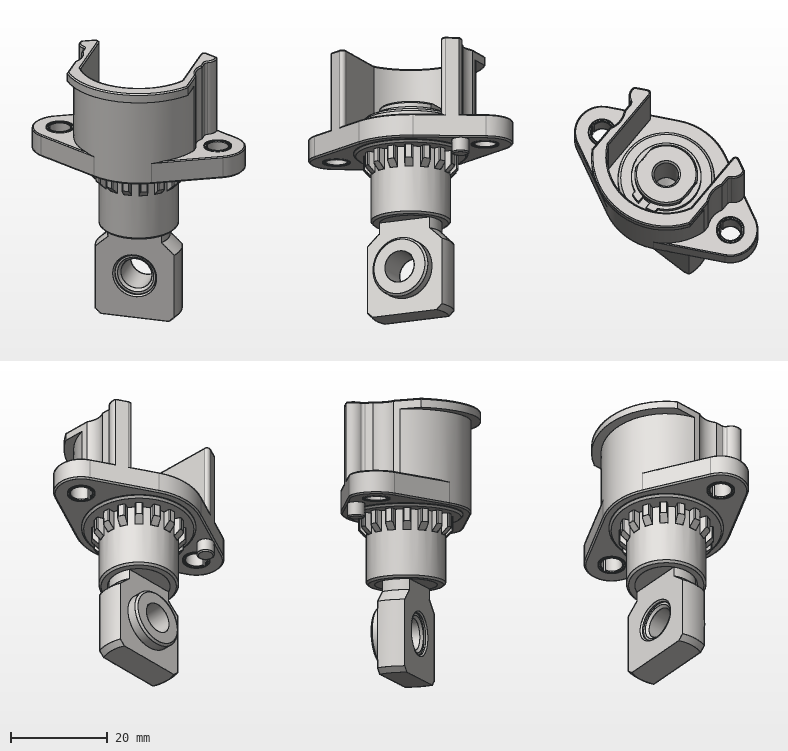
import cadquery as cq
import math

TOP_Z = 56.5
FLANGE_TOP_Z = 39.95
FLANGE_BOTTOM_Z = 35.05
PILOT_BOTTOM_Z = 34.4
BARREL_BOTTOM_Z = 20.05
SEAT_TOP_Z = 42.15
POST_TOP_Z = 44.6
EMBED = 0.55

BODY_RADIUS = 13.5
FLANGE_LENGTH = 45.5
EAR_X = 17.0
EAR_RADIUS = FLANGE_LENGTH / 2 - EAR_X
FLANGE_TOP_CHAMFER = 0.2
FLANGE_BOTTOM_CHAMFER = 0.35
EDGE_NORMAL_X = (BODY_RADIUS - EAR_RADIUS) / EAR_X
EDGE_NORMAL_Y = math.sqrt(1 - EDGE_NORMAL_X**2)

WALL_OUTER_X = 13.0
WALL_INNER_X = 10.95
CAVITY_RADIUS = 12.25
SHROUD_CHAMFER = 0.3
LIP_RADIUS = 15.5
LIP_HEIGHT = 2.0
LIP_BACK_Y = 2.8
LIP_OVERLAP = 0.55
SCREW_RELIEF_RADIUS = 4.65
BEAD_X = 12.45
BEAD_Y = 6.9
BEAD_RADIUS = 2.3
BEAD_BLEND_RADIUS = 0.85
WALL_END_RADIUS = 0.8

SEAT_RADIUS = 10.0
SEAT_CHAMFER = 0.55
PILOT_RADIUS = 11.85
PILOT_CHAMFER = 0.45
BARREL_RADIUS = 8.25
BARREL_CHAMFER = 0.45
GUSSET_COUNT = 16
GUSSET_RADIUS = 9.8
GUSSET_WIDTH = 1.7
GUSSET_CHAMFER = 0.2
GUSSET_BOTTOM_Z = 30.1
PEG_X = -14.0
PEG_Y = 5.65
PEG_RADIUS = 1.8
PEG_LENGTH = 3.0
PEG_CHAMFER = 0.3

BUSHING_OUTER_RADIUS = 2.9
BUSHING_INNER_RADIUS = 2.25
BUSHING_CHAMFER = 0.15
BUSHING_SLIT = 0.55

POST_RADIUS = 6.5
POST_CHAMFER = 0.35
POST_FLAT_X = 5.9
LUG_RADIUS = 9.05
LUG_THICKNESS = 6.05
LUG_SHOULDER_Z = 15.2
LUG_TIP_CHAMFER = 1.15
LUG_HOLE_Z = 9.5
LUG_HOLE_RADIUS = 4.4
LUG_HOLE_CHAMFER = 0.35
TAP_RADIUS = 2.55
TAP_CHAMFER = 0.4
TAP_DEPTH = 10.15
DRILL_TIP_ANGLE = 118.0

CLIP_THICKNESS = 1.0
CLIP_INNER_RADIUS = 6.05
CLIP_RADIUS = 7.25
CLIP_TAB_RADIUS = 8.0
CLIP_TAB_X = 3.0
CLIP_GAP = 2.0

NUT_RADIUS = 6.25
NUT_HEIGHT = 2.5
NUT_CHAMFER = 0.45
NUT_BORE_RADIUS = 3.35
NUT_BORE_CHAMFER = 0.55
NUT_RECESS = 0.7


def disc(radius, bottom, top, x=0.0, y=0.0):
    return cq.Workplane("XY", origin=(x, y, bottom)).circle(radius).extrude(top - bottom)


def block(x_min, x_max, y_min, y_max, bottom, top):
    size = (x_max - x_min, y_max - y_min, top - bottom)
    return cq.Workplane("XY", origin=(x_min, y_min, bottom)).box(*size, centered=False)


def on_circle(radius, angle, x=0.0, y=0.0):
    return (x + radius * math.cos(angle), y + radius * math.sin(angle))


def flange_outline(bottom, top):
    """Round body with an ear on each side, joined by common tangents."""
    body_x, body_y = BODY_RADIUS * EDGE_NORMAL_X, BODY_RADIUS * EDGE_NORMAL_Y
    ear_x, ear_y = EAR_X + EAR_RADIUS * EDGE_NORMAL_X, EAR_RADIUS * EDGE_NORMAL_Y
    ear_end = EAR_X + EAR_RADIUS
    return (
        cq.Workplane("XY", origin=(0, 0, bottom))
        .moveTo(body_x, body_y)
        .lineTo(ear_x, ear_y)
        .threePointArc((ear_end, 0), (ear_x, -ear_y))
        .lineTo(body_x, -body_y)
        .threePointArc((0, -BODY_RADIUS), (-body_x, -body_y))
        .lineTo(-ear_x, -ear_y)
        .threePointArc((-ear_end, 0), (-ear_x, ear_y))
        .lineTo(-body_x, body_y)
        .threePointArc((0, BODY_RADIUS), (body_x, body_y))
        .close()
        .extrude(top - bottom)
    )


def half_wall_outline(sketch):
    """Right half of the shroud wall, from the middle of the front to the beaded free end."""
    front = -math.pi / 2
    side_angle = -math.acos(WALL_OUTER_X / BODY_RADIUS)
    relief_half = math.sqrt(SCREW_RELIEF_RADIUS**2 - (EAR_X - WALL_OUTER_X) ** 2)
    blend_x = WALL_OUTER_X + BEAD_BLEND_RADIUS
    reach = BEAD_RADIUS + BEAD_BLEND_RADIUS
    touch_angle = -math.acos((blend_x - BEAD_X) / reach)
    blend_y = BEAD_Y + reach * math.sin(touch_angle)
    blend_middle = (math.pi + math.pi + touch_angle) / 2
    edge_angle = math.atan2(EDGE_NORMAL_Y, EDGE_NORMAL_X)
    edge_gap = BODY_RADIUS - BEAD_X * EDGE_NORMAL_X - BEAD_Y * EDGE_NORMAL_Y
    bead_end = edge_angle - math.acos(edge_gap / BEAD_RADIUS)
    wall_end_y = (BODY_RADIUS - WALL_INNER_X * EDGE_NORMAL_X) / EDGE_NORMAL_Y
    cavity_angle = -math.acos(WALL_INNER_X / CAVITY_RADIUS)
    return (
        sketch.moveTo(0, -BODY_RADIUS)
        .threePointArc(on_circle(BODY_RADIUS, (front + side_angle) / 2), on_circle(BODY_RADIUS, side_angle))
        .lineTo(WALL_OUTER_X, -relief_half)
        .threePointArc((EAR_X - SCREW_RELIEF_RADIUS, 0), (WALL_OUTER_X, relief_half))
        .lineTo(WALL_OUTER_X, blend_y)
        .threePointArc(on_circle(BEAD_BLEND_RADIUS, blend_middle, blend_x, blend_y),
                       on_circle(BEAD_RADIUS, touch_angle, BEAD_X, BEAD_Y))
        .threePointArc(on_circle(BEAD_RADIUS, (touch_angle + bead_end) / 2, BEAD_X, BEAD_Y),
                       on_circle(BEAD_RADIUS, bead_end, BEAD_X, BEAD_Y))
        .lineTo(WALL_INNER_X, wall_end_y)
        .lineTo(*on_circle(CAVITY_RADIUS, cavity_angle))
        .threePointArc(on_circle(CAVITY_RADIUS, (front + cavity_angle) / 2), (0, -CAVITY_RADIUS))
        .close()
    )


def make_shroud(bottom):
    half_wall = (
        half_wall_outline(cq.Workplane("XY", origin=(0, 0, bottom)))
        .extrude(TOP_Z - bottom)
        .edges("|Z")
        .edges(cq.selectors.NearestToPointSelector((WALL_INNER_X, BODY_RADIUS, TOP_Z / 2)))
        .fillet(WALL_END_RADIUS)
    )
    lip_bottom = TOP_Z - LIP_HEIGHT
    lip = (
        disc(LIP_RADIUS, lip_bottom, TOP_Z)
        .cut(disc(CAVITY_RADIUS + LIP_OVERLAP, lip_bottom, TOP_Z))
        .intersect(block(0, WALL_OUTER_X, -LIP_RADIUS, -LIP_BACK_Y, lip_bottom, TOP_Z))
    )
    half_shroud = half_wall.union(lip)
    shroud = half_shroud.union(half_shroud.mirror("YZ"))
    return shroud.faces(">Z").chamfer(SHROUD_CHAMFER)


def make_gussets():
    """Ribs around the barrel, each with a 45 degree lower end."""
    slope = GUSSET_RADIUS - BARREL_RADIUS
    gusset = (
        cq.Workplane("XZ", origin=(0, GUSSET_WIDTH / 2, 0))
        .polyline([(0, FLANGE_BOTTOM_Z), (GUSSET_RADIUS, FLANGE_BOTTOM_Z),
                   (GUSSET_RADIUS, GUSSET_BOTTOM_Z + slope),
                   (BARREL_RADIUS, GUSSET_BOTTOM_Z), (0, GUSSET_BOTTOM_Z)])
        .close()
        .extrude(GUSSET_WIDTH)
        .faces(">X").edges("|Z").chamfer(GUSSET_CHAMFER)
    )
    gussets = gusset
    for index in range(1, GUSSET_COUNT):
        gussets = gussets.union(gusset.rotate((0, 0, 0), (0, 0, 1), index * 360 / GUSSET_COUNT))
    return gussets


def make_bushing(x):
    """Split sleeve moulded into a mounting hole."""
    ring = (
        disc(BUSHING_OUTER_RADIUS, FLANGE_BOTTOM_Z, FLANGE_TOP_Z)
        .cut(disc(BUSHING_INNER_RADIUS, FLANGE_BOTTOM_Z, FLANGE_TOP_Z))
        .faces("<Z or >Z").chamfer(BUSHING_CHAMFER)
    )
    slit = block(-BUSHING_OUTER_RADIUS, 0, -BUSHING_SLIT / 2, BUSHING_SLIT / 2,
                 FLANGE_BOTTOM_Z, FLANGE_TOP_Z)
    return ring.cut(slit).translate((x, 0, 0))


def make_housing():
    housing = flange_outline(FLANGE_BOTTOM_Z, FLANGE_TOP_Z)
    housing = housing.faces(">Z").chamfer(FLANGE_TOP_CHAMFER)
    housing = housing.faces("<Z").chamfer(FLANGE_BOTTOM_CHAMFER)
    seat = disc(SEAT_RADIUS, FLANGE_BOTTOM_Z, SEAT_TOP_Z).faces(">Z").chamfer(SEAT_CHAMFER)
    pilot = disc(PILOT_RADIUS, PILOT_BOTTOM_Z, FLANGE_TOP_Z - EMBED).faces("<Z").chamfer(PILOT_CHAMFER)
    barrel = disc(BARREL_RADIUS, BARREL_BOTTOM_Z, FLANGE_BOTTOM_Z).faces("<Z").chamfer(BARREL_CHAMFER)
    peg = disc(PEG_RADIUS, FLANGE_BOTTOM_Z - PEG_LENGTH, FLANGE_TOP_Z - EMBED, PEG_X, PEG_Y)
    peg = peg.faces("<Z").chamfer(PEG_CHAMFER)
    shroud = make_shroud(FLANGE_TOP_Z - FLANGE_TOP_CHAMFER)
    for portion in (seat, pilot, barrel, peg, make_gussets(), shroud):
        housing = housing.union(portion)
    housing = housing.cut(disc(POST_RADIUS, BARREL_BOTTOM_Z, SEAT_TOP_Z))
    for side in (-1, 1):
        housing = housing.cut(disc(BUSHING_OUTER_RADIUS, FLANGE_BOTTOM_Z, FLANGE_TOP_Z, side * EAR_X))
        housing = housing.union(make_bushing(side * EAR_X))
    return housing


def make_terminal():
    cone = LUG_RADIUS - POST_RADIUS
    tip_radius = LUG_RADIUS - LUG_TIP_CHAMFER
    bar = (
        cq.Workplane("XZ")
        .polyline([(0, 0), (tip_radius, 0), (LUG_RADIUS, LUG_TIP_CHAMFER),
                   (LUG_RADIUS, LUG_SHOULDER_Z), (POST_RADIUS, LUG_SHOULDER_Z + cone),
                   (POST_RADIUS, POST_TOP_Z - POST_CHAMFER),
                   (POST_RADIUS - POST_CHAMFER, POST_TOP_Z), (0, POST_TOP_Z)])
        .close()
        .revolve(360, (0, 0, 0), (0, 1, 0))
    )
    half = LUG_THICKNESS / 2
    for y_min, y_max in ((-LUG_RADIUS, -half), (half, LUG_RADIUS)):
        bar = bar.cut(block(-LUG_RADIUS, LUG_RADIUS, y_min, y_max, 0, BARREL_BOTTOM_Z))
    for x_min, x_max in ((-POST_RADIUS, -POST_FLAT_X), (POST_FLAT_X, POST_RADIUS)):
        bar = bar.cut(block(x_min, x_max, -POST_RADIUS, POST_RADIUS, SEAT_TOP_Z, POST_TOP_Z))
    groove = disc(POST_RADIUS, SEAT_TOP_Z, SEAT_TOP_Z + CLIP_THICKNESS).cut(
        disc(CLIP_INNER_RADIUS, SEAT_TOP_Z, SEAT_TOP_Z + CLIP_THICKNESS))
    bar = bar.cut(groove)
    tip = TAP_RADIUS / math.tan(math.radians(DRILL_TIP_ANGLE / 2))
    mouth = TAP_RADIUS + TAP_CHAMFER
    tapped_hole = (
        cq.Workplane("XZ")
        .polyline([(0, POST_TOP_Z), (mouth, POST_TOP_Z), (TAP_RADIUS, POST_TOP_Z - TAP_CHAMFER),
                   (TAP_RADIUS, POST_TOP_Z - TAP_DEPTH), (0, POST_TOP_Z - TAP_DEPTH - tip)])
        .close()
        .revolve(360, (0, 0, 0), (0, 1, 0))
    )
    lug_hole = (
        cq.Workplane("XY", origin=(0, 0, LUG_HOLE_Z))
        .polyline([(0, -half), (LUG_HOLE_RADIUS + LUG_HOLE_CHAMFER, -half),
                   (LUG_HOLE_RADIUS, -half + LUG_HOLE_CHAMFER), (LUG_HOLE_RADIUS, half), (0, half)])
        .close()
        .revolve(360, (0, 0, 0), (0, 1, 0))
    )
    return bar.cut(tapped_hole).cut(lug_hole)


def make_clip():
    """Open ring in the post groove, with a tab on each side of its gap."""
    top = SEAT_TOP_Z + CLIP_THICKNESS
    tabs = disc(CLIP_TAB_RADIUS, SEAT_TOP_Z, top).intersect(
        block(-CLIP_TAB_X, CLIP_TAB_X, -CLIP_TAB_RADIUS, 0, SEAT_TOP_Z, top))
    return (
        disc(CLIP_RADIUS, SEAT_TOP_Z, top)
        .union(tabs)
        .cut(disc(CLIP_INNER_RADIUS, SEAT_TOP_Z, top))
        .cut(block(-CLIP_GAP / 2, CLIP_GAP / 2, -CLIP_TAB_RADIUS, 0, SEAT_TOP_Z, top))
    )


def make_nut():
    """Press nut: the shank fills the lug hole and the head rests on the back of the lug."""
    half = LUG_THICKNESS / 2
    back = half + NUT_HEIGHT
    front = -half + NUT_RECESS
    return (
        cq.Workplane("XY", origin=(0, 0, LUG_HOLE_Z))
        .polyline([(NUT_BORE_RADIUS + NUT_BORE_CHAMFER, front), (LUG_HOLE_RADIUS, front),
                   (LUG_HOLE_RADIUS, half), (NUT_RADIUS, half),
                   (NUT_RADIUS, back - NUT_CHAMFER), (NUT_RADIUS - NUT_CHAMFER, back),
                   (NUT_BORE_RADIUS, back), (NUT_BORE_RADIUS, front + NUT_BORE_CHAMFER)])
        .close()
        .revolve(360, (0, 0, 0), (0, 1, 0))
    )


housing = make_housing()
terminal = make_terminal()
clip = make_clip()
nut = make_nut()

result = cq.Compound.makeCompound([housing.val(), terminal.val(), clip.val(), nut.val()])